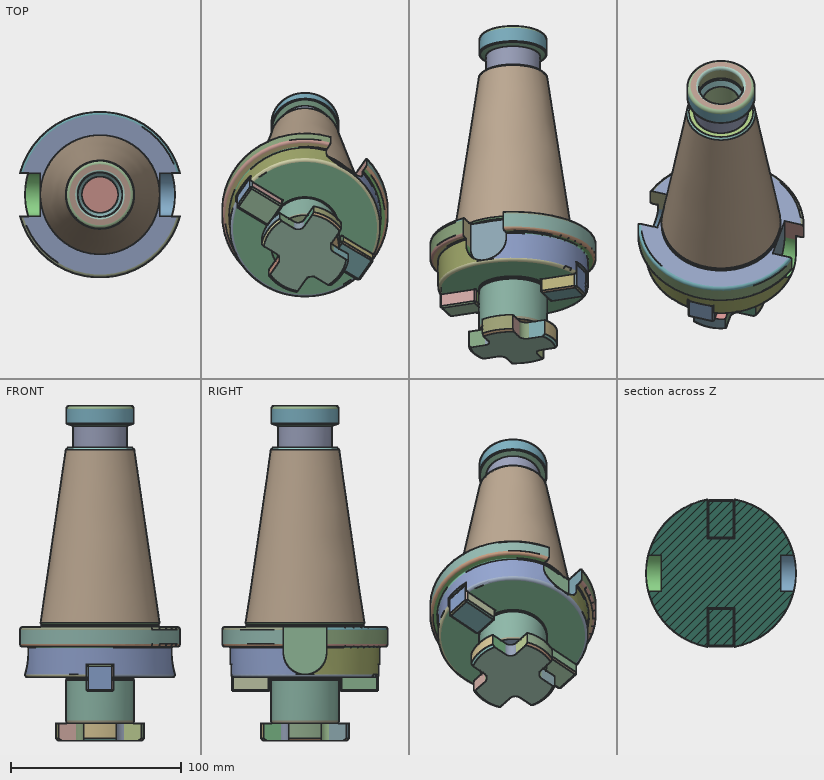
import cadquery as cq

total_height = 196.8
cross_top = 10.2
collar_bottom = 37.2
flange_bottom = 55.1
flange_top = 67.0
taper_top = 172.2
knob_bottom = 186.5

shank_radius = 20.0
collar_radius = 44.0
flange_diameter = 97.5
flange_radius = flange_diameter / 2
taper_large_radius = 35.0
neck_radius = 16.0
knob_radius = 19.9

taper_relief_height = 2.4
taper_relief_depth = 0.5
taper_bottom = flange_top + taper_relief_height
taper_slope = 7 / 24 / 2
taper_small_radius = taper_large_radius - taper_slope * (taper_top - taper_bottom)

flange_fillet = 1.8
collar_fillet = 1.8
collar_root_fillet = 0.5
taper_chamfer = 1.2
knob_fillet = 2.0
knob_edge_chamfer = 0.5
knob_cone_height = 1.8

shank_relief_height = 1.8
shank_relief_depth = 0.3
shank_relief_radius = shank_radius - shank_relief_depth

bore_radius = 13.0
bore_depth = 11.5
bore_fillet = 1.5
bore_relief_height = 2.4
bore_relief_depth = 0.3
thread_radius = 10.6
thread_cone_depth = 2.8
thread_depth = 39.4

slot_width = 25.4
slot_floor = 35.2
slot_bottom = 39.0

key_width = 16.0
key_height = 16.0
key_bottom = 29.0
key_inner = 20.5
key_outer = 43.1
key_chamfer = 1.0

cross_radius = 26.0
cross_chamfer = 1.4
arm_width = 19.3
arm_corner_radius = 4.3


def turned_body():
    outline = (
        cq.Workplane("XZ")
        .moveTo(0, cross_top)
        .lineTo(shank_relief_radius, cross_top)
        .lineTo(shank_radius, cross_top + shank_relief_height)
        .lineTo(shank_radius, collar_bottom - shank_relief_height)
        .lineTo(shank_relief_radius, collar_bottom - shank_relief_height + 2 * shank_relief_depth)
        .lineTo(shank_relief_radius, collar_bottom - shank_relief_depth)
        .lineTo(shank_radius, collar_bottom)
        .lineTo(collar_radius - collar_fillet, collar_bottom)
        .radiusArc((collar_radius, collar_bottom + collar_fillet), -collar_fillet)
        .lineTo(collar_radius, flange_bottom - collar_root_fillet)
        .radiusArc((collar_radius + collar_root_fillet, flange_bottom), collar_root_fillet)
        .lineTo(flange_radius - flange_fillet, flange_bottom)
        .radiusArc((flange_radius, flange_bottom + flange_fillet), -flange_fillet)
        .lineTo(flange_radius, flange_top - flange_fillet)
        .radiusArc((flange_radius - flange_fillet, flange_top), -flange_fillet)
        .lineTo(taper_large_radius, flange_top)
        .lineTo(taper_large_radius - taper_relief_depth, flange_top + taper_relief_depth)
        .lineTo(taper_large_radius - taper_relief_depth, taper_bottom - 2 * taper_relief_depth)
        .lineTo(taper_large_radius, taper_bottom)
        .lineTo(taper_small_radius + taper_slope * taper_chamfer, taper_top - taper_chamfer)
        .lineTo(taper_small_radius - taper_chamfer, taper_top)
        .lineTo(neck_radius, taper_top)
        .lineTo(neck_radius, knob_bottom - knob_cone_height)
        .lineTo(knob_radius - knob_edge_chamfer, knob_bottom - knob_edge_chamfer)
        .lineTo(knob_radius, knob_bottom)
        .lineTo(knob_radius, total_height - knob_fillet)
        .radiusArc((knob_radius - knob_fillet, total_height), -knob_fillet)
        .lineTo(0, total_height)
        .close()
    )
    return outline.revolve(360, (0, 0, 0), (0, 1, 0))


def knob_bore():
    bore_floor = total_height - bore_depth
    relief_top = bore_floor + bore_relief_height
    relief_radius = bore_radius + bore_relief_depth
    thread_floor = total_height - thread_depth
    outline = (
        cq.Workplane("XZ")
        .moveTo(0, total_height)
        .lineTo(bore_radius + bore_fillet, total_height)
        .radiusArc((bore_radius, total_height - bore_fillet), -bore_fillet)
        .lineTo(bore_radius, relief_top)
        .lineTo(relief_radius, relief_top - 2 * bore_relief_depth)
        .lineTo(relief_radius, bore_floor + bore_relief_depth)
        .lineTo(bore_radius, bore_floor)
        .lineTo(thread_radius, bore_floor - thread_cone_depth)
        .lineTo(thread_radius, thread_floor)
        .lineTo(0, thread_floor)
        .close()
    )
    return outline.revolve(360, (0, 0, 0), (0, 1, 0))


def drive_slot(side):
    half_width = slot_width / 2
    arc_height = slot_bottom + half_width
    slot_depth = flange_radius - slot_floor
    outline = (
        cq.Workplane("YZ", origin=(side * slot_floor, 0, 0))
        .moveTo(-half_width, flange_top)
        .lineTo(-half_width, arc_height)
        .threePointArc((0, slot_bottom), (half_width, arc_height))
        .lineTo(half_width, flange_top)
        .close()
    )
    return outline.extrude(side * slot_depth)


def key_block(inner, outer, side):
    length = outer - inner
    return (
        cq.Workplane("XY")
        .box(key_width, length, key_height, centered=(True, True, False))
        .translate((0, side * (inner + length / 2), key_bottom))
    )


def key_seat(side):
    return key_block(key_inner, flange_radius, side)


def drive_key(side):
    return key_block(key_inner, key_outer, side).edges().chamfer(key_chamfer)


def drive_cross():
    arm_length = 2 * cross_radius
    arms = (
        cq.Workplane("XY")
        .rect(arm_length, arm_width)
        .extrude(cross_top)
        .union(cq.Workplane("XY").rect(arm_width, arm_length).extrude(cross_top))
    )
    half_arm = arm_width / 2
    box_half = (half_arm + cross_radius) / 2
    inner_corners = cq.selectors.BoxSelector(
        (-box_half, -box_half, 0),
        (box_half, box_half, cross_top),
    )
    arms = arms.edges("|Z").edges(inner_corners).fillet(arm_corner_radius)
    disc = cq.Workplane("XY").circle(cross_radius).extrude(cross_top)
    disc = disc.faces("<Z").chamfer(cross_chamfer)
    return arms.intersect(disc)


result = turned_body().cut(knob_bore())
for side in (-1, 1):
    result = result.cut(drive_slot(side))
    result = result.cut(key_seat(side))
    result = result.union(drive_key(side))
result = result.union(drive_cross())